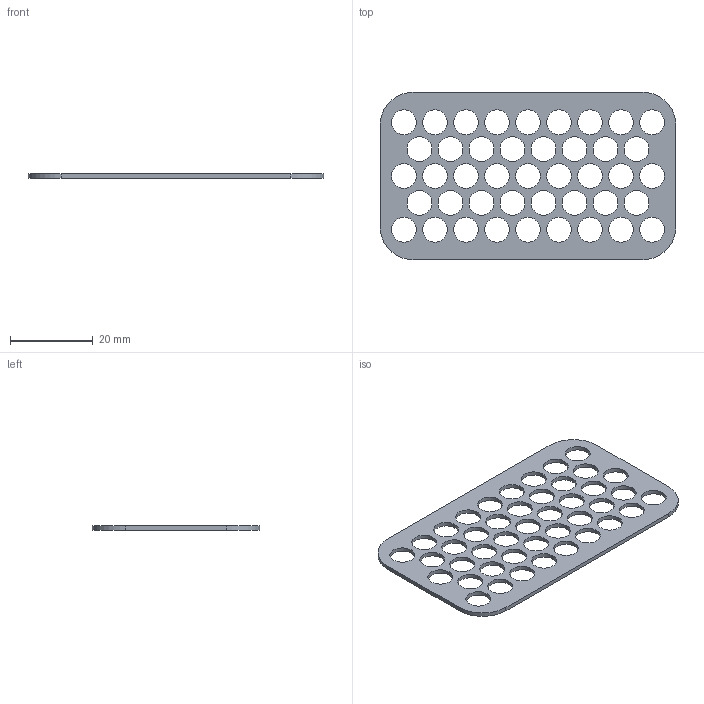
import cadquery as cq
import math

plate_length = 71.55
plate_width = 40.5
plate_thickness = 1.0
corner_radius = 8.0

hole_diameter = 6.0
hole_pitch = 7.5
row_pitch = hole_pitch * math.sin(math.radians(60))
row_count = 5
long_row_holes = 9
short_row_holes = long_row_holes - 1


def make_plate():
    """Flat rectangular plate with rounded corners, resting on Z = 0."""
    blank = cq.Workplane("XY").box(
        plate_length, plate_width, plate_thickness, centered=(True, True, False)
    )
    return blank.edges("|Z").fillet(corner_radius)


def hole_centers():
    """Centers of all holes, with long and short rows alternating along Y."""
    centers = []
    for row in range(row_count):
        y = (row - (row_count - 1) / 2) * row_pitch
        hole_count = long_row_holes if row % 2 == 0 else short_row_holes
        for column in range(hole_count):
            x = (column - (hole_count - 1) / 2) * hole_pitch
            centers.append((x, y))
    return centers


def drill_holes(plate):
    """Cut every hole of the pattern through the plate."""
    return plate.faces(">Z").workplane().pushPoints(hole_centers()).hole(hole_diameter)


result = drill_holes(make_plate())